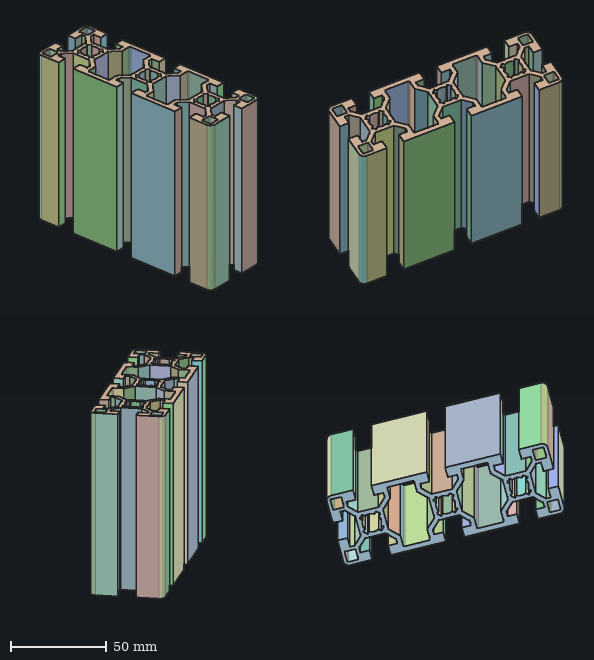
import cadquery as cq
import math

width = 120.0
cell_count = 3
pitch = width / cell_count
length = 100.0
corner_radius = 3.0

slot_opening = 10.0
slot_inner_width = 20.0
slot_lip = 5.5
slot_depth = 12.5

web_thickness = 2.8

cavity_width = 14.5
cavity_wall = 3.0
cavity_fillet = 0.7

corner_hole_size = 6.0
corner_hole_inset = 2.0
corner_hole_fillet = 0.6

bore_diameter = 10.1
notch_span = 13.2
notch_width = 2.5

half_cell = pitch / 2
core_half = half_cell - slot_depth
web_offset = web_thickness / math.sqrt(2)
cell_centers = [(i - (cell_count - 1) / 2) * pitch for i in range(cell_count)]
cavity_centers = [(a + b) / 2 for a, b in zip(cell_centers, cell_centers[1:])]


def extrude_full(sketch):
    return sketch.extrude(length)


def t_slot(center_x, angle):
    """T-slot cutter of one cell, open towards +Y before turning by angle about the cell axis."""
    lip_y = half_cell - slot_lip
    half_opening = slot_opening / 2
    half_inner = slot_inner_width / 2
    right_side = [
        (half_opening, half_cell),
        (half_opening, lip_y),
        (half_inner, lip_y),
        (half_inner, half_inner + web_offset),
        (core_half - web_offset, core_half),
    ]
    left_side = [(-x, y) for x, y in reversed(right_side)]
    cutter = extrude_full(cq.Workplane("XY").polyline(right_side + left_side).close())
    return cutter.rotate((0, 0, 0), (0, 0, 1), angle).translate((center_x, 0, 0))


def cavity(center_x):
    """Cavity between two cells: a tall box widened at mid height up to the two cores."""
    half_width = cavity_width / 2
    half_height = half_cell - cavity_wall
    bulge_half_width = half_cell - core_half
    bulge_half_height = core_half - web_offset
    shoulder_y = half_cell - half_width - web_offset
    box = extrude_full(cq.Workplane("XY").rect(2 * half_width, 2 * half_height))
    box = box.edges("|Z").fillet(cavity_fillet)
    upper_right = [(bulge_half_width, bulge_half_height), (half_width, shoulder_y)]
    upper = upper_right + [(-x, y) for x, y in reversed(upper_right)]
    lower = [(-x, -y) for x, y in upper]
    bulge = extrude_full(cq.Workplane("XY").polyline(upper + lower).close())
    return box.union(bulge).translate((center_x, 0, 0))


def core_bore(center_x):
    """Round bore crossed by two diagonal notches."""
    cutter = extrude_full(cq.Workplane("XY").circle(bore_diameter / 2))
    notch = extrude_full(cq.Workplane("XY").rect(notch_span, notch_width))
    for angle in (45, -45):
        cutter = cutter.union(notch.rotate((0, 0, 0), (0, 0, 1), angle))
    return cutter.translate((center_x, 0, 0))


def corner_holes():
    """Rounded square holes in the four outer corners."""
    edge_distance = corner_hole_inset + corner_hole_size / 2
    spacing_x = width - 2 * edge_distance
    spacing_y = pitch - 2 * edge_distance
    holes = cq.Workplane("XY").rect(spacing_x, spacing_y, forConstruction=True).vertices()
    holes = extrude_full(holes.rect(corner_hole_size, corner_hole_size))
    return holes.edges("|Z").fillet(corner_hole_fillet)


result = extrude_full(cq.Workplane("XY").rect(width, pitch)).edges("|Z").fillet(corner_radius)

for x in cell_centers:
    for side_angle in (0, 180):
        result = result.cut(t_slot(x, side_angle))

result = result.cut(t_slot(cell_centers[0], 90))
result = result.cut(t_slot(cell_centers[-1], -90))

for x in cavity_centers:
    result = result.cut(cavity(x))

for x in cell_centers:
    result = result.cut(core_bore(x))

result = result.cut(corner_holes())